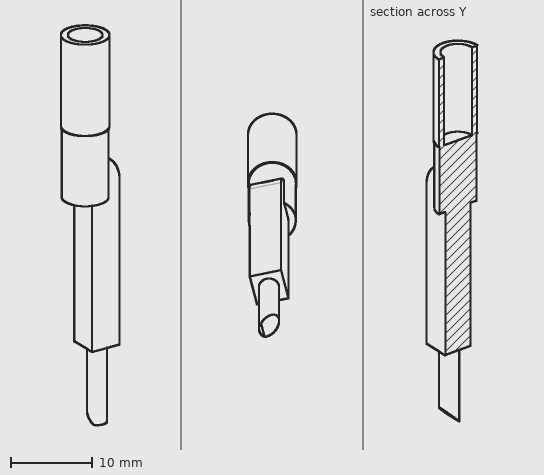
import cadquery as cq

total_height = 52.3
total_depth = 6.8

sleeve_diameter = 6.0
sleeve_length = 12.3
bore_diameter = 4.3
bore_depth = sleeve_length
collar_diameter = 5.8
collar_length = 9.45

bar_width = 4.0
bar_depth = 4.1
bar_bottom = 10.5
bar_top_radius = 4.0
bar_round_start = 32.75

pin_diameter = 2.5
tip_flat = 0.45

sleeve_bottom = total_height - sleeve_length
collar_bottom = sleeve_bottom - collar_length
bar_back = total_depth - sleeve_diameter / 2
bar_front = bar_back - bar_depth
bar_center = (bar_back + bar_front) / 2


def cylinder(diameter, bottom, height, center_y=0.0):
    """Upright cylinder centred on X = 0."""
    base = cq.Workplane("XY", origin=(0, center_y, bottom))
    return base.circle(diameter / 2).extrude(height)


def make_bar():
    """Rectangular bar whose upper back edge is rounded where it meets the collar."""
    height = bar_round_start + bar_top_radius - bar_bottom
    bar = (
        cq.Workplane("XY", origin=(0, bar_center, bar_bottom))
        .rect(bar_width, bar_depth)
        .extrude(height)
    )
    return bar.faces(">Z").edges(">Y").fillet(bar_top_radius)


def make_pin():
    """Round pin with a 45 degree tip that leaves a small flat on the +X side."""
    radius = pin_diameter / 2
    bevel = pin_diameter - tip_flat
    pin = cylinder(pin_diameter, 0, bar_bottom, bar_center)
    wedge = (
        cq.Workplane("XZ", origin=(0, bar_center, 0))
        .polyline([(-radius, 0), (-radius, bevel), (bevel - radius, 0)])
        .close()
        .extrude(radius, both=True)
    )
    return pin.cut(wedge)


sleeve = cylinder(sleeve_diameter, sleeve_bottom, sleeve_length)
collar = cylinder(collar_diameter, collar_bottom, collar_length)
bore = cylinder(bore_diameter, total_height - bore_depth, bore_depth)

result = sleeve.union(collar).union(make_bar()).union(make_pin()).cut(bore)